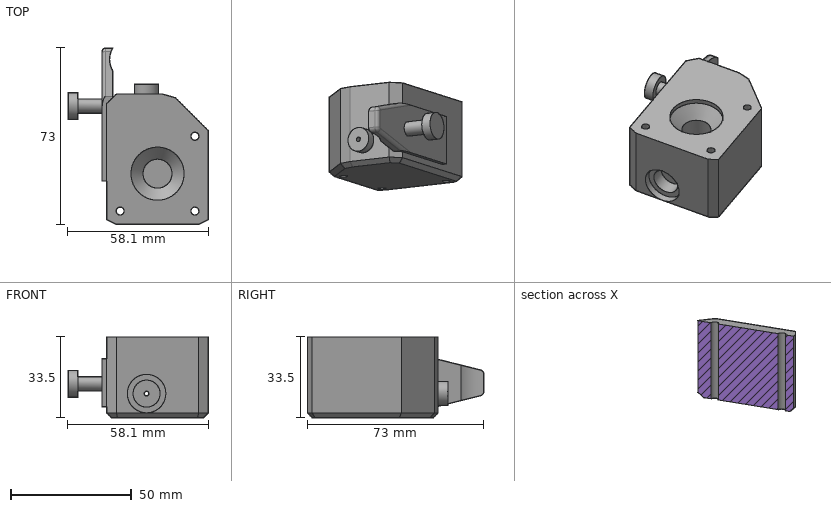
import cadquery as cq

body_width = 42.05
body_length = 54.0
body_height = 33.5
bottom_chamfer = 2.0
corner_run = 4.0
front_corner_depth = 2.0
slope_start_x = 23.0
slope_end_x = 28.4
slope_drop = 1.5

center_x = body_width / 2
center_y = center_x
recess_diameter = 22.0
recess_lip = 2.0
pocket_diameter = 12.0
pocket_depth = 15.0
cone_depth = (recess_diameter - pocket_diameter) / 2
mount_diameter = 3.2
mount_offset = 15.5

bore_x = 16.5
bore_z = 10.0
counterbore_diameter = 15.9
counterbore_depth = 3.0
bore_diameter = 11.2
bore_depth = 9.0
passage_diameter = 1.8
boss_diameter = 10.0
boss_length = 4.0

lever_left = -2.0
lever_thickness = 4.5
lever_right = lever_left + lever_thickness
lever_front = 17.95
lever_tip = 73.0
lever_height = 20.0
lever_z = 14.45
tip_height = 10.0
taper_length = 20.0
tip_corner_radius = 2.0
lever_edge_radius = 1.5
scoop_length = 9.4
scoop_depth = 1.3

knob_y = 49.0
knob_z = 14.0
knob_left = -16.0
head_diameter = 11.2
head_thickness = 4.0
pin_diameter = 6.0


def cylinder_along_y(diameter, start_y, length):
    """Cylinder on the bore axis, running toward +Y."""
    base = cq.Vector(bore_x, start_y, bore_z)
    return cq.Workplane(cq.Solid.makeCylinder(diameter / 2, length, base, cq.Vector(0, 1, 0)))


def cylinder_along_x(diameter, start_x, length):
    """Cylinder on the knob axis, running toward +X."""
    base = cq.Vector(start_x, knob_y, knob_z)
    return cq.Workplane(cq.Solid.makeCylinder(diameter / 2, length, base, cq.Vector(1, 0, 0)))


def make_body():
    cut_start_y = body_length - slope_drop
    cut_end_y = cut_start_y - (body_width - slope_end_x)
    outline = [
        (corner_run, 0),
        (body_width - corner_run, 0),
        (body_width, front_corner_depth),
        (body_width, cut_end_y),
        (slope_end_x, cut_start_y),
        (slope_start_x, body_length),
        (corner_run, body_length),
        (0, body_length - corner_run),
        (0, front_corner_depth),
    ]
    block = cq.Workplane("XY").polyline(outline).close().extrude(body_height)
    return block.faces("<Z").chamfer(bottom_chamfer)


def make_top_recess():
    """Short cylindrical lip, 45 degree cone and flat-bottomed pocket."""
    lip_z = body_height - recess_lip
    profile = [
        (0, body_height),
        (recess_diameter / 2, body_height),
        (recess_diameter / 2, lip_z),
        (pocket_diameter / 2, lip_z - cone_depth),
        (pocket_diameter / 2, body_height - pocket_depth),
        (0, body_height - pocket_depth),
    ]
    recess = cq.Workplane("XZ").polyline(profile).close().revolve(360, (0, 0, 0), (0, 1, 0))
    return recess.translate((center_x, center_y, 0))


def make_mounting_holes():
    points = [
        (center_x - mount_offset, center_y - mount_offset),
        (center_x + mount_offset, center_y - mount_offset),
        (center_x + mount_offset, center_y + mount_offset),
    ]
    return cq.Workplane("XY").pushPoints(points).circle(mount_diameter / 2).extrude(body_height)


def make_lever():
    length = lever_tip - lever_front
    tip_half = tip_height / 2
    slope = (lever_height - tip_height) / 2 / taper_length
    wide_half = tip_half + slope * length
    wedge = (
        cq.Workplane("YZ", origin=(lever_left, 0, lever_z))
        .polyline([
            (lever_front, -wide_half),
            (lever_tip, -tip_half),
            (lever_tip, tip_half),
            (lever_front, wide_half),
        ])
        .close()
        .extrude(lever_thickness)
    )
    wedge = wedge.edges("|X and >Y").fillet(tip_corner_radius)
    wedge = wedge.faces("<X").edges("not <Y").fillet(lever_edge_radius)
    blank = cq.Workplane("XY").box(lever_thickness, length, lever_height, centered=(False, False, True))
    return wedge.intersect(blank.translate((lever_left, lever_front, lever_z)))


def make_thumb_scoop():
    """Shallow round hollow across the inner face of the lever tip."""
    return (
        cq.Workplane("XY")
        .moveTo(lever_right, lever_tip - scoop_length)
        .threePointArc(
            (lever_right - scoop_depth, lever_tip - scoop_length / 2),
            (lever_right, lever_tip),
        )
        .close()
        .extrude(body_height)
    )


body = make_body()
body = body.cut(make_top_recess())
body = body.cut(make_mounting_holes())
body = body.union(cylinder_along_y(boss_diameter, body_length, boss_length))
body = body.cut(cylinder_along_y(counterbore_diameter, 0, counterbore_depth))
body = body.cut(cylinder_along_y(bore_diameter, 0, bore_depth))
body = body.cut(cylinder_along_y(passage_diameter, 0, body_length + boss_length))

lever = make_lever().cut(make_thumb_scoop())
knob_head = cylinder_along_x(head_diameter, knob_left, head_thickness)
knob_pin = cylinder_along_x(pin_diameter, knob_left, lever_right - knob_left)

result = body.union(lever).union(knob_head).union(knob_pin)